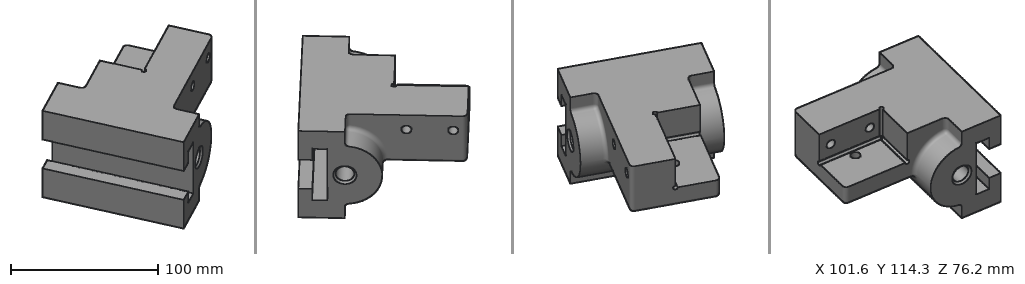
import cadquery as cq

module = 114.3 / 4.5
width = 4 * module
length = 4.5 * module
height = 3 * module

base_depth = 1.25 * module
arm_width = 2.5 * module
arm_thickness = 1.625 * module
boss_radius = module
edge_radius = module / 8

slot_depth = 19.9
slot_width = 45.0
slot_mouth_depth = 0.375 * module
slot_mouth_width = module

bore_radius = module / 4
bore_chamfer = module / 16

notch_length = 2 * module
notch_depth = module
relief_radius = module / 16
pin_radius = 3.4
pin_drop = module / 2
pin_back_offset = 0.375 * module
pin_spacing = 1.25 * module
ledge_pin_x = -module / 4

margin = 0.1

top = height / 2
arm_bottom = top - arm_thickness
notch_y = length - notch_length
ledge_z = top - notch_depth


def box(x_range, y_range, z_range):
    """Axis-aligned block between pairs of limits."""
    sizes = [high - low for low, high in (x_range, y_range, z_range)]
    corner = (x_range[0], y_range[0], z_range[0])
    return cq.Workplane("XY").box(*sizes, centered=False).translate(corner)


def rod(start, direction, radius, rod_length):
    """Solid cylinder from a start point along a direction."""
    cylinder = cq.Solid.makeCylinder(radius, rod_length, cq.Vector(*start), cq.Vector(*direction))
    return cq.Workplane(cylinder)


def make_base_with_boss():
    """Full-width clamp block with a half-round boss blended into its back face."""
    half_width = width / 2
    base = box((-half_width, half_width), (0, base_depth), (-top, top))
    boss = rod((-half_width, base_depth, 0), (1, 0, 0), boss_radius, width)
    block = base.union(boss)
    corners = cq.selectors.BoxSelector(
        (-width, base_depth - margin, -boss_radius - margin),
        (width, base_depth + margin, boss_radius + margin),
    )
    return block.edges("|X").edges(corners).fillet(edge_radius)


def make_arm():
    """Narrower arm reaching back from the base, rounded at its back and bottom edges."""
    half_width = arm_width / 2
    arm = box((-half_width, half_width), (base_depth / 2, length), (arm_bottom, top))
    return arm.edges("(|Z and >Y) or (<Z and (not <Y))").fillet(edge_radius)


def blend_arm(body):
    """Fillet the inside corners where the arm sides meet the base and boss."""
    seams = [
        cq.selectors.BoxSelector(
            (x - margin, base_depth - margin, -margin),
            (x + margin, base_depth + boss_radius + margin, top + margin),
        )
        for x in (-arm_width / 2, arm_width / 2)
    ]
    return body.edges(seams[0] + seams[1]).fillet(edge_radius)


def make_t_slot():
    """T-shaped channel along X, open at the front face."""
    half_width = width / 2
    half_mouth = slot_mouth_width / 2
    mouth = box((-half_width, half_width), (0, slot_depth), (-half_mouth, half_mouth))
    half_slot = slot_width / 2
    wide = box((-half_width, half_width), (slot_mouth_depth, slot_depth), (-half_slot, half_slot))
    return mouth.union(wide)


def make_bore():
    """Through bore on the boss axis, chamfered at both ends."""
    bore = rod((-width / 2, base_depth, 0), (1, 0, 0), bore_radius, width)
    for side in (-1, 1):
        cone = cq.Solid.makeCone(
            bore_radius + bore_chamfer,
            bore_radius,
            bore_chamfer,
            cq.Vector(side * width / 2, base_depth, 0),
            cq.Vector(-side, 0, 0),
        )
        bore = bore.union(cq.Workplane(cone))
    return bore


def make_notch():
    """Corner notch at the back left, with round reliefs along its three inside edges."""
    notch = box((-arm_width / 2, 0), (notch_y, length), (ledge_z, top))
    corner = (0, notch_y, ledge_z)
    runs = (((-1, 0, 0), arm_width / 2), ((0, 1, 0), notch_length), ((0, 0, 1), notch_depth))
    for direction, run in runs:
        notch = notch.union(rod(corner, direction, relief_radius, run))
    return notch


def make_pin_holes():
    """Two cross holes through the notch wall and one hole down through the ledge."""
    pin_z = top - pin_drop
    first_y = length - pin_back_offset
    holes = rod((ledge_pin_x, length - module, arm_bottom), (0, 0, 1), pin_radius, arm_thickness)
    for y in (first_y, first_y - pin_spacing):
        holes = holes.union(rod((-arm_width / 2, y, pin_z), (1, 0, 0), pin_radius, arm_width))
    return holes


body = make_base_with_boss().union(make_arm())
body = blend_arm(body)
result = body.cut(make_t_slot()).cut(make_bore()).cut(make_notch()).cut(make_pin_holes())